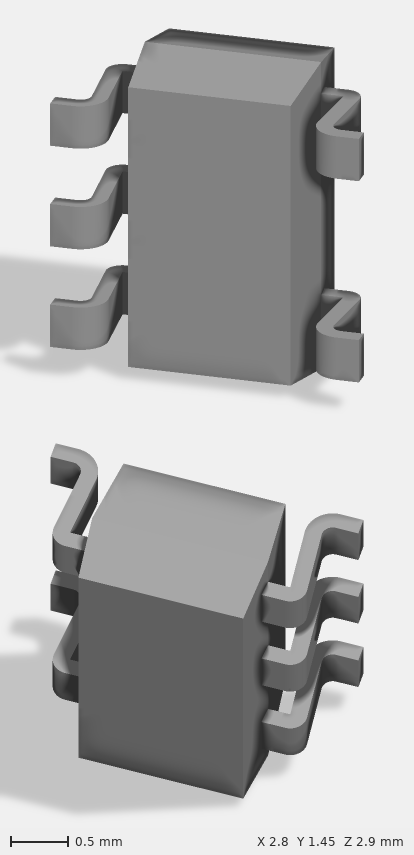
import cadquery as cq
import math


housing_length = 2.9
housing_width = 1.6
housing_top = 1.45
parting_y = 0.875
side_draft = math.radians(5)
end_draft = math.radians(10)

lead_span = 2.8
lead_thickness = 0.15
lead_width = 0.4
lead_pitch = 0.95
foot_length = 0.203
foot_inner_radius = 0.1
leg_lean = math.radians(5)

housing_bottom = lead_thickness


def drafted_half(end_y):
    """Housing half that tapers from the parting plane to a smaller face at end_y."""
    depth = abs(end_y - parting_y)
    end_width = housing_width - 2 * depth * math.tan(side_draft)
    end_length = housing_length - 2 * depth * math.tan(end_draft)
    return (
        cq.Workplane("XZ", origin=(0, parting_y, 0))
        .rect(housing_width, housing_length)
        .workplane(offset=parting_y - end_y)
        .rect(end_width, end_length)
        .loft(ruled=True)
    )


def polar(center, radius, angle):
    """Point at a radius and angle from a center, in the XY plane."""
    return (center[0] + radius * math.cos(angle), center[1] + radius * math.sin(angle))


def make_lead(z_center):
    """Gull-wing lead on the +X side, ending flush against the sloped housing wall."""
    tip_x = lead_span / 2
    foot_outer_radius = foot_inner_radius + lead_thickness
    bend_center = (tip_x - foot_length, foot_outer_radius)

    bend_start = math.radians(270)
    bend_end = math.pi - leg_lean
    bend_middle = (bend_start + bend_end) / 2

    leg_rise = parting_y - bend_center[1]
    knee_x = bend_center[0] - foot_outer_radius / math.cos(leg_lean) + leg_rise * math.tan(leg_lean)
    knee = (knee_x, parting_y)
    knee_start = -leg_lean
    knee_end = math.radians(90)
    knee_middle = (knee_start + knee_end) / 2

    wall_x = housing_width / 2
    wall_x_at_lead_top = wall_x - lead_thickness * math.tan(side_draft)

    return (
        cq.Workplane("XY", origin=(0, 0, z_center - lead_width / 2))
        .moveTo(tip_x, 0)
        .lineTo(bend_center[0], 0)
        .threePointArc(
            polar(bend_center, foot_outer_radius, bend_middle),
            polar(bend_center, foot_outer_radius, bend_end),
        )
        .lineTo(*knee)
        .lineTo(wall_x, parting_y)
        .lineTo(wall_x_at_lead_top, parting_y + lead_thickness)
        .lineTo(knee_x, parting_y + lead_thickness)
        .threePointArc(
            polar(knee, lead_thickness, knee_middle),
            polar(knee, lead_thickness, knee_start),
        )
        .lineTo(*polar(bend_center, foot_inner_radius, bend_end))
        .threePointArc(
            polar(bend_center, foot_inner_radius, bend_middle),
            polar(bend_center, foot_inner_radius, bend_start),
        )
        .lineTo(tip_x, lead_thickness)
        .close()
        .extrude(lead_width)
    )


housing_base = drafted_half(housing_bottom)
housing_cover = drafted_half(housing_top)

leads = []
for row in (-1, 0, 1):
    leads.append(make_lead(row * lead_pitch).mirror("YZ").val())
for row in (-1, 1):
    leads.append(make_lead(row * lead_pitch).val())

result = cq.Compound.makeCompound([housing_base.val(), housing_cover.val(), *leads])